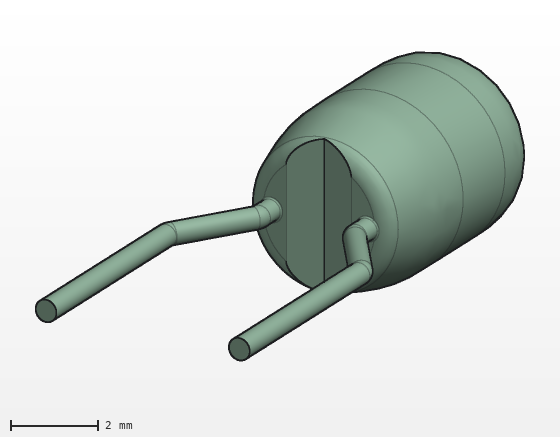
import cadquery as cq
import math

body_radius = 2.25
body_height = 6.21
band_bottom = 2.75
band_top = 4.71
base_radius = 1.47
base_fillet = 0.445
wall_lean = math.radians(15)

groove_half_width = 0.853
groove_depth = 0.27

wire_diameter = 0.55
root_pitch = 2.54
tip_pitch = 5.08
root_length = 0.5
lead_length = 8.25
bend_radius = 0.3
bend_angle = math.radians(33)
root_fillet = 0.04
wire_embed = 1.0


def make_body():
    """Barrel revolved about Y: tapered base, cylindrical band, domed end."""
    fillet_top_radius = base_radius + base_fillet * math.cos(wall_lean)
    fillet_top = base_fillet * (1 - math.sin(wall_lean))
    mid_angle = (math.pi / 2 - wall_lean) / 2
    fillet_mid = (
        base_radius + base_fillet * math.sin(mid_angle),
        base_fillet * (1 - math.cos(mid_angle)),
    )

    wall_corner_height = fillet_top + (body_radius - fillet_top_radius) / math.tan(wall_lean)
    wall_corner = (body_radius, wall_corner_height)
    dome_corner = (body_radius, body_height)

    profile = (
        cq.Workplane("XY")
        .lineTo(base_radius, 0)
        .threePointArc(fillet_mid, (fillet_top_radius, fillet_top))
        .bezier(
            [wall_corner, wall_corner, (body_radius, band_bottom)],
            includeCurrent=True,
        )
        .lineTo(body_radius, band_top)
        .bezier([dome_corner, dome_corner, (0, body_height)], includeCurrent=True)
        .close()
    )
    return profile.revolve(360, (0, 0, 0), (0, 1, 0))


def make_groove():
    """Triangular cutter for the V groove, running the full depth along Z."""
    return (
        cq.Workplane("XY")
        .moveTo(-groove_half_width, 0)
        .lineTo(0, groove_depth)
        .lineTo(groove_half_width, 0)
        .close()
        .extrude(body_radius, both=True)
    )


def make_lead():
    """Lead on the +X side: straight root, outward jog, straight tip."""
    root_x = root_pitch / 2
    tip_x = tip_pitch / 2

    bend_across = bend_radius * (1 - math.cos(bend_angle))
    bend_along = bend_radius * math.sin(bend_angle)
    mid_across = bend_radius * (1 - math.cos(bend_angle / 2))
    mid_along = bend_radius * math.sin(bend_angle / 2)

    jog_start = (root_x + bend_across, -root_length - bend_along)
    jog_end_x = tip_x - bend_across
    jog_end_y = jog_start[1] - (jog_end_x - jog_start[0]) / math.tan(bend_angle)
    tip_start_y = jog_end_y - bend_along

    path = (
        cq.Workplane("XY")
        .moveTo(root_x, wire_embed)
        .lineTo(root_x, -root_length)
        .threePointArc((root_x + mid_across, -root_length - mid_along), jog_start)
        .lineTo(jog_end_x, jog_end_y)
        .threePointArc((tip_x - mid_across, tip_start_y + mid_along), (tip_x, tip_start_y))
        .lineTo(tip_x, -lead_length)
    )
    return (
        cq.Workplane("XZ", origin=(root_x, wire_embed, 0))
        .circle(wire_diameter / 2)
        .sweep(path)
    )


def fillet_lead_roots(part):
    """Round the corners where the leads meet the base."""
    reach = wire_diameter / 2
    for side in (-1, 1):
        root_x = side * root_pitch / 2
        box = cq.selectors.BoxSelector(
            (root_x - reach, -root_fillet, -reach),
            (root_x + reach, root_fillet, reach),
            boundingbox=False,
        )
        part = part.edges(box).fillet(root_fillet)
    return part


lead = make_lead()
body = make_body().cut(make_groove())
result = fillet_lead_roots(body.union(lead).union(lead.mirror("YZ")))